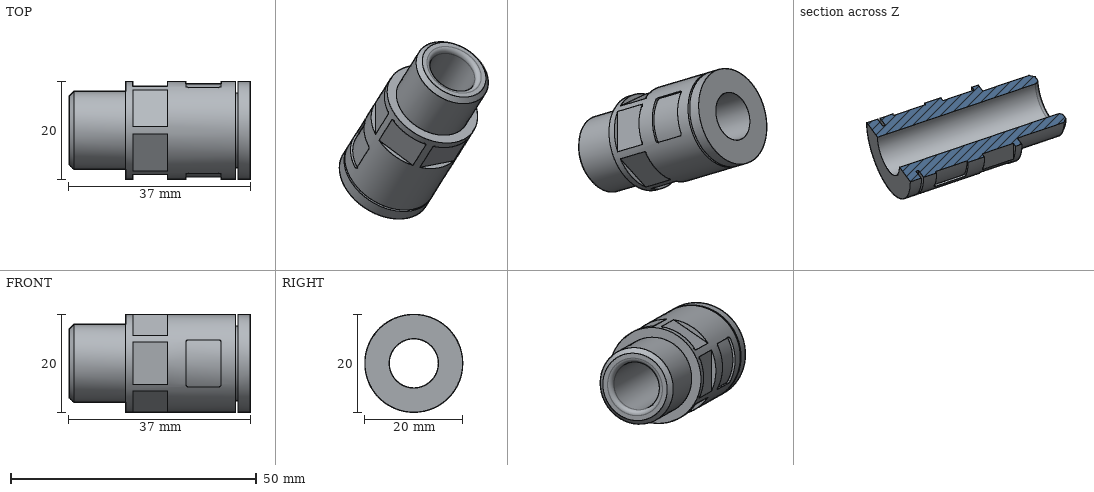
import cadquery as cq
import math

length = 37.0
collar_start = 11.5
flats_start = 13.02
flats_end = 20.05
pocket_start = 23.83
pocket_end = 31.0
groove_start = 33.95
groove_end = 34.45

body_diameter = 20.0
spigot_diameter = 16.0
groove_diameter = 15.3
bore_diameter = 10.0

spigot_chamfer = 0.95
bore_mouth_radius = 1.0

flat_count = 6
across_flats = 18.05

pocket_width = 9.6
pocket_depth = 0.48
pocket_corner_radius = 0.48


def cylinder(start, end, diameter):
    """Solid cylinder on the X axis between two stations."""
    return cq.Workplane("YZ", origin=(start, 0, 0)).circle(diameter / 2).extrude(end - start)


def make_body():
    """Spigot and main barrel, with the retaining groove near the far end."""
    spigot = cylinder(0, collar_start, spigot_diameter).faces("<X").chamfer(spigot_chamfer)
    barrel = cylinder(collar_start, groove_start, body_diameter)
    groove_core = cylinder(groove_start, groove_end, groove_diameter)
    end_ring = cylinder(groove_end, length, body_diameter)
    return spigot.union(barrel).union(groove_core).union(end_ring)


def make_flats_cutter():
    """Ring with a hexagonal opening whose flats include the +Y and -Y sides."""
    across_corners = across_flats / math.cos(math.pi / flat_count)
    flats_length = flats_end - flats_start
    hexagon = (
        cq.Workplane("YZ", origin=(flats_start, 0, 0))
        .polygon(flat_count, across_corners)
        .extrude(flats_length)
        .rotate((0, 0, 0), (1, 0, 0), 180 / flat_count)
    )
    return cylinder(flats_start, flats_end, across_corners).cut(hexagon)


def make_pocket_cutter():
    """Rounded rectangle passing through along Y, hollowed to leave the curved floors."""
    pocket_length = pocket_end - pocket_start
    pocket_middle = (pocket_start + pocket_end) / 2
    block = (
        cq.Workplane("XY")
        .box(pocket_length, body_diameter, pocket_width)
        .edges("|Y")
        .fillet(pocket_corner_radius)
        .translate((pocket_middle, 0, 0))
    )
    floor_diameter = body_diameter - 2 * pocket_depth
    return block.cut(cylinder(pocket_start, pocket_end, floor_diameter))


def make_bore():
    """Through bore with a rounded mouth at the spigot end."""
    bore_radius = bore_diameter / 2
    mouth_radius = bore_radius + bore_mouth_radius
    arc_offset = bore_mouth_radius * (1 - math.sqrt(0.5))
    profile = (
        cq.Workplane("XY")
        .moveTo(0, 0)
        .lineTo(0, mouth_radius)
        .threePointArc((arc_offset, bore_radius + arc_offset), (bore_mouth_radius, bore_radius))
        .lineTo(length, bore_radius)
        .lineTo(length, 0)
        .close()
    )
    return profile.revolve(360, (0, 0, 0), (1, 0, 0))


result = (
    make_body()
    .cut(make_flats_cutter())
    .cut(make_pocket_cutter())
    .cut(make_bore())
)